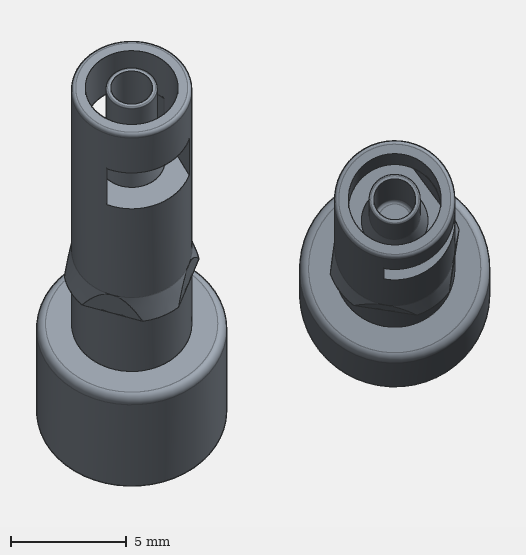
import cadquery as cq

total_height = 23.0

base_diameter = 8.2
base_height = 6.19
base_edge_radius = 0.4

barrel_diameter = 5.2
barrel_edge_radius = 0.18

collar_bottom = 10.17
collar_top = 11.45
collar_diameter = 5.89
flats_width = barrel_diameter
flats_angle = 45.0

socket_diameter = 4.0
socket_floor = 17.78
window_top = 20.33
window_front = socket_diameter / 2
window_back = 1.89

pin_diameter = 2.2
pin_edge_radius = 0.07
foot_diameter = 2.88
foot_top = 19.3
pin_bore_diameter = 1.8
pin_bore_floor_radius = 0.172


def cylinder(diameter, bottom, top):
    return cq.Workplane("XY").workplane(offset=bottom).circle(diameter / 2).extrude(top - bottom)


def cone(bottom_diameter, top_diameter, bottom, top):
    return (
        cq.Workplane("XY")
        .workplane(offset=bottom)
        .circle(bottom_diameter / 2)
        .workplane(offset=top - bottom)
        .circle(top_diameter / 2)
        .loft(ruled=True)
    )


def make_base():
    return cylinder(base_diameter, 0, base_height).faces(">Z").edges().fillet(base_edge_radius)


def make_collar():
    flats = (
        cq.Workplane("XY")
        .workplane(offset=collar_bottom)
        .transformed(rotate=(0, 0, flats_angle))
        .rect(flats_width, flats_width)
        .extrude(collar_top - collar_bottom)
    )
    return cone(collar_diameter, barrel_diameter, collar_bottom, collar_top).intersect(flats)


def make_barrel():
    barrel = cylinder(barrel_diameter, 0, total_height).faces(">Z").edges().fillet(barrel_edge_radius)
    return barrel.union(make_collar())


def make_window():
    return (
        cq.Workplane("XY")
        .workplane(offset=socket_floor)
        .center(0, (window_back - window_front) / 2)
        .rect(barrel_diameter, window_back + window_front)
        .extrude(window_top - socket_floor)
    )


def make_pin():
    pin = cylinder(pin_diameter, socket_floor, total_height).faces(">Z").edges().fillet(pin_edge_radius)
    return pin.union(cone(foot_diameter, pin_diameter, socket_floor, foot_top))


def make_pin_bore():
    bore = cylinder(pin_bore_diameter, socket_floor, total_height)
    return bore.faces("<Z").edges().fillet(pin_bore_floor_radius)


result = (
    make_base()
    .union(make_barrel())
    .cut(cylinder(socket_diameter, socket_floor, total_height))
    .cut(make_window())
    .union(make_pin())
    .cut(make_pin_bore())
)